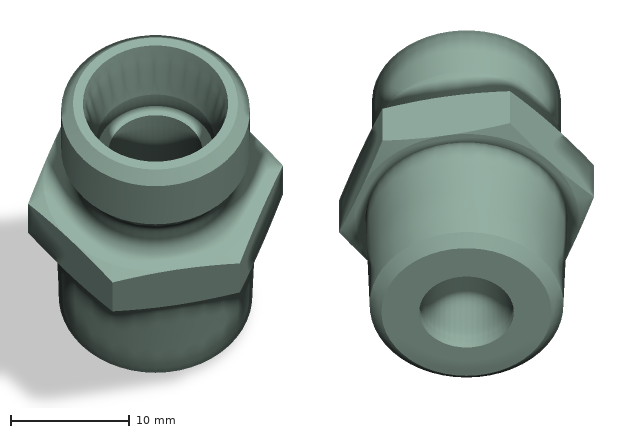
import cadquery as cq
import math

total_height = 28.0
hex_bottom = 12.0
hex_top = 17.0
collar_bottom = 21.62

hex_across_flats = 19.0
hex_chamfer_angle = 17.0

spigot_diameter = 17.1
spigot_taper = 1 / 16
spigot_chamfer_height = 0.92
spigot_chamfer_width = 1.0

collar_diameter = 16.0
collar_chamfer = 1.0
neck_diameter = 13.7
neck_fillet = 1.0
collar_cone_angle = 30.0

through_diameter = 8.0
socket_diameter = 10.0
socket_depth = 7.0
mouth_diameter = 12.3
mouth_half_angle = 12.0


def tangent(degrees):
    return math.tan(math.radians(degrees))


def make_hexagon():
    """Hexagon with corners on Y, its corners trimmed by a cone at both ends."""
    flat_radius = hex_across_flats / 2
    corner_radius = flat_radius / math.cos(math.pi / 6)
    drop = (corner_radius - flat_radius) * tangent(hex_chamfer_angle)
    prism = (
        cq.Workplane("XY", origin=(0, 0, hex_bottom))
        .polygon(6, 2 * corner_radius)
        .extrude(hex_top - hex_bottom)
        .rotate((0, 0, 0), (0, 0, 1), 30)
    )
    envelope = (
        cq.Workplane("XZ")
        .moveTo(0, hex_bottom)
        .lineTo(flat_radius, hex_bottom)
        .lineTo(corner_radius, hex_bottom + drop)
        .lineTo(corner_radius, hex_top - drop)
        .lineTo(flat_radius, hex_top)
        .lineTo(0, hex_top)
        .close()
        .revolve(360, (0, 0, 0), (0, 1, 0))
    )
    return prism.intersect(envelope)


def make_spigot():
    """Tapered lower end with a chamfered rim."""
    top_radius = spigot_diameter / 2
    taper_length = hex_bottom - spigot_chamfer_height
    rim_radius = top_radius - taper_length * spigot_taper / 2
    return (
        cq.Workplane("XZ")
        .lineTo(rim_radius - spigot_chamfer_width, 0)
        .lineTo(rim_radius, spigot_chamfer_height)
        .lineTo(top_radius, hex_bottom)
        .lineTo(0, hex_bottom)
        .close()
        .revolve(360, (0, 0, 0), (0, 1, 0))
    )


def make_collar():
    """Upper collar, its cone down to the neck, and the neck with rounded ends."""
    collar_radius = collar_diameter / 2
    neck_radius = neck_diameter / 2
    foot_radius = neck_radius + neck_fillet
    cone_angle = math.radians(collar_cone_angle)

    cone_bottom = collar_bottom - (collar_radius - neck_radius) / math.tan(cone_angle)
    round_start = cone_bottom - neck_fillet * math.tan(cone_angle / 2)

    def round_point(center_z, angle):
        return (
            foot_radius - neck_fillet * math.cos(angle),
            center_z + neck_fillet * math.sin(angle),
        )

    foot_center = hex_top + neck_fillet
    return (
        cq.Workplane("XZ")
        .moveTo(0, hex_top)
        .lineTo(foot_radius, hex_top)
        .threePointArc(round_point(foot_center, -math.pi / 4), (neck_radius, foot_center))
        .lineTo(neck_radius, round_start)
        .threePointArc(round_point(round_start, cone_angle / 2), round_point(round_start, cone_angle))
        .lineTo(collar_radius, collar_bottom)
        .lineTo(collar_radius, total_height - collar_chamfer)
        .lineTo(collar_radius - collar_chamfer, total_height)
        .lineTo(0, total_height)
        .close()
        .revolve(360, (0, 0, 0), (0, 1, 0))
    )


def make_bore():
    """Through hole opening into a stepped socket with a conical mouth."""
    through_radius = through_diameter / 2
    socket_radius = socket_diameter / 2
    mouth_radius = mouth_diameter / 2
    socket_floor = total_height - socket_depth
    mouth_depth = (mouth_radius - socket_radius) / tangent(mouth_half_angle)
    return (
        cq.Workplane("XZ")
        .lineTo(through_radius, 0)
        .lineTo(through_radius, socket_floor)
        .lineTo(socket_radius, socket_floor)
        .lineTo(socket_radius, total_height - mouth_depth)
        .lineTo(mouth_radius, total_height)
        .lineTo(0, total_height)
        .close()
        .revolve(360, (0, 0, 0), (0, 1, 0))
    )


body = make_hexagon().union(make_spigot()).union(make_collar())
result = body.cut(make_bore())